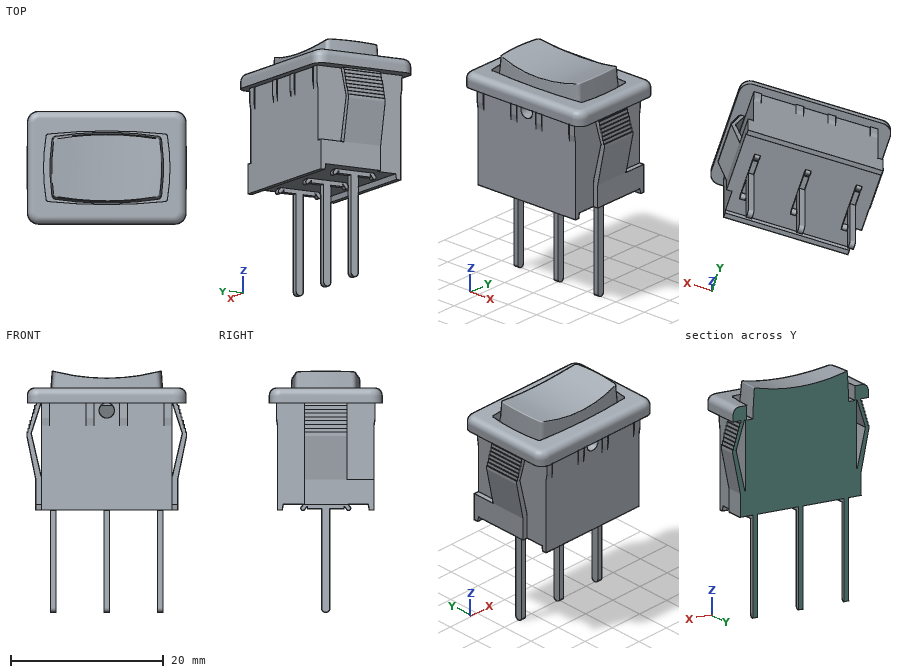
import cadquery as cq
import math


bezel_length = 20.8
bezel_width = 14.8
bezel_height = 2.0
bezel_corner_radius = 1.5
bezel_edge_radius = 1.0

pocket_corner_x = 7.9
pocket_corner_y = 4.4
pocket_bulge_x = 0.38
pocket_bulge_y = 0.42
pocket_corner_radius = 0.35

rocker_corner_x = 7.12
rocker_corner_y = 4.06
rocker_bulge_x = 0.31
rocker_bulge_y = 0.58
rocker_corner_radius = 0.6
rocker_draft = 3.5
rocker_blank_height = 4.6
rocker_edge_radius = 0.12
dish_radius = 27.45
dish_bottom_z = 3.28

body_length = 17.1
body_width = 12.66
body_depth = 14.0
floor_z = -13.25
foot_tip_thickness = 0.65
foot_root_thickness = 0.78

rib_width = 1.05
rib_height = 0.15
rib_straight_length = 2.0
rib_length = 2.95
inner_rib_x = 2.2
outer_rib_x = (body_length - rib_width) / 2
rib_positions = (-outer_rib_x, -inner_rib_x, inner_rib_x, outer_rib_x)

recess_diameter = 2.0
recess_z = -0.95
recess_depth = 1.0
recess_step_z = -0.3
recess_slope_run = 1.0

clip_width = 5.6
clip_base_thickness = 0.75
clip_base_top_z = -10.0
clip_outer_top_x = 9.2
clip_inner_top_x = 8.6
clip_reach_x = 10.47
clip_inner_reach_x = 9.88
clip_inner_elbow_z = -3.95
clip_inner_foot_z = -9.7
tooth_count = 8
tooth_pitch = 0.5
tooth_step = 0.148
first_tooth_z = -0.3

terminal_spacing = 7.0
terminal_thickness = 0.75
terminal_width = 1.1
terminal_tip_z = -27.4
shoulder_width = 4.8
shoulder_bottom_z = -13.83
tab_width = 0.56
tab_angle = 40.0
tab_end_y = 3.0
tab_end_z = -13.78
tab_length = 2.8

half_length = body_length / 2
half_width = body_width / 2


def barrel_outline(corner_x, corner_y, bulge_x, bulge_y):
    """Closed rectangle outline at Z = 0 whose four sides bow outward."""
    return (
        cq.Workplane("XY")
        .moveTo(-corner_x, -corner_y)
        .threePointArc((0, -corner_y - bulge_y), (corner_x, -corner_y))
        .threePointArc((corner_x + bulge_x, 0), (corner_x, corner_y))
        .threePointArc((0, corner_y + bulge_y), (-corner_x, corner_y))
        .threePointArc((-corner_x - bulge_x, 0), (-corner_x, -corner_y))
        .close()
    )


def make_bezel():
    plate = cq.Workplane("XY").box(bezel_length, bezel_width, bezel_height, centered=(True, True, False))
    plate = plate.edges("|Z").fillet(bezel_corner_radius)
    plate = plate.faces(">Z").edges().fillet(bezel_edge_radius)
    pocket = barrel_outline(pocket_corner_x, pocket_corner_y, pocket_bulge_x, pocket_bulge_y)
    pocket = pocket.extrude(bezel_height).edges("|Z").fillet(pocket_corner_radius)
    return plate.cut(pocket)


def make_rocker():
    outline = barrel_outline(rocker_corner_x, rocker_corner_y, rocker_bulge_x, rocker_bulge_y)
    blank = outline.extrude(rocker_blank_height, taper=rocker_draft)
    blank = blank.edges("not(<Z or >Z)").fillet(rocker_corner_radius)
    dish = (
        cq.Workplane("XZ", origin=(0, bezel_width / 2, dish_bottom_z + dish_radius))
        .circle(dish_radius)
        .extrude(bezel_width)
    )
    rocker = blank.cut(dish)
    dished_face = rocker.faces(cq.selectors.NearestToPointSelector((0, 0, dish_bottom_z)))
    return dished_face.edges().fillet(rocker_edge_radius)


def make_body():
    foot_tip_y = half_width - foot_tip_thickness
    foot_root_y = half_width - foot_root_thickness
    return (
        cq.Workplane("YZ", origin=(-half_length, 0, 0))
        .polyline([
            (-half_width, 0),
            (half_width, 0),
            (half_width, -body_depth),
            (foot_tip_y, -body_depth),
            (foot_root_y, floor_z),
            (-foot_root_y, floor_z),
            (-foot_tip_y, -body_depth),
            (-half_width, -body_depth),
        ])
        .close()
        .extrude(body_length)
    )


def make_rib(x):
    """Rib on the front wall, tapering into the wall at its lower end."""
    return (
        cq.Workplane("YZ", origin=(x - rib_width / 2, 0, 0))
        .polyline([
            (-half_width, 0),
            (-half_width - rib_height, 0),
            (-half_width - rib_height, -rib_straight_length),
            (-half_width, -rib_length),
        ])
        .close()
        .extrude(rib_width)
    )


def make_recess():
    """Round recess with a short upright floor above a floor that slopes deeper going down."""
    recess_radius = recess_diameter / 2
    recess_bottom_z = recess_z - recess_radius
    floor_y = recess_depth - half_width
    cylinder = (
        cq.Workplane("XZ", origin=(0, -half_width, recess_z))
        .circle(recess_radius)
        .extrude(-recess_depth - recess_slope_run)
    )
    side_profile = (
        cq.Workplane("YZ", origin=(-recess_radius, 0, 0))
        .polyline([
            (-half_width, 0),
            (floor_y, 0),
            (floor_y, recess_step_z),
            (floor_y + recess_slope_run, recess_bottom_z),
            (-half_width, recess_bottom_z),
        ])
        .close()
        .extrude(recess_diameter)
    )
    return cylinder.intersect(side_profile)


def make_clip():
    """Snap clip on the +X end: serrated spring tongue above a flat base."""
    base_x = half_length + clip_base_thickness
    points = [(clip_inner_top_x, 0), (clip_outer_top_x, 0)]
    for tooth in range(tooth_count):
        tooth_z = first_tooth_z - tooth * tooth_pitch
        tooth_x = clip_reach_x - (tooth_count - 1 - tooth) * tooth_step
        points.append((tooth_x - tooth_step, tooth_z))
        points.append((tooth_x, tooth_z))
    points += [
        (clip_reach_x, first_tooth_z - tooth_count * tooth_pitch),
        (base_x, clip_base_top_z),
        (half_length, clip_base_top_z),
        (half_length, clip_inner_foot_z),
        (clip_inner_reach_x, clip_inner_elbow_z),
    ]
    tongue = (
        cq.Workplane("XZ", origin=(0, clip_width / 2, 0)).polyline(points).close().extrude(clip_width)
    )
    base_length = half_width + clip_width / 2
    base_height = clip_base_top_z + body_depth
    base = cq.Workplane("XY", origin=(half_length, -clip_width / 2, -body_depth)).box(
        clip_base_thickness, base_length, base_height, centered=False
    )
    body_section = make_body().translate((clip_base_thickness, 0, 0))
    return tongue.union(base.intersect(body_section))


def make_tab():
    """Round-ended tab leaning outward toward +Y, sunk into the body floor."""
    tab = (
        cq.Workplane("YZ", origin=(-terminal_thickness / 2, 0, 0))
        .slot2D(tab_length, tab_width)
        .extrude(terminal_thickness)
    )
    lean = math.radians(tab_angle)
    reach = (tab_length - tab_width) / 2
    tab = tab.rotate((0, 0, 0), (1, 0, 0), 90 + tab_angle)
    return tab.translate((0, tab_end_y - reach * math.sin(lean), tab_end_z + reach * math.cos(lean)))


def make_terminal():
    blade_radius = terminal_width / 2
    blade = (
        cq.Workplane("YZ", origin=(-terminal_thickness / 2, 0, 0))
        .moveTo(-blade_radius, floor_z)
        .lineTo(-blade_radius, terminal_tip_z + blade_radius)
        .threePointArc((0, terminal_tip_z), (blade_radius, terminal_tip_z + blade_radius))
        .lineTo(blade_radius, floor_z)
        .close()
        .extrude(terminal_thickness)
    )
    shoulder_height = floor_z - shoulder_bottom_z
    shoulder = cq.Workplane("XY", origin=(0, 0, shoulder_bottom_z)).box(
        terminal_thickness, shoulder_width, shoulder_height, centered=(True, True, False)
    )
    tab = make_tab()
    return blade.union(shoulder).union(tab).union(tab.mirror("XZ"))


switch = make_body().union(make_bezel()).union(make_rocker())

for rib_x in rib_positions:
    rib = make_rib(rib_x)
    switch = switch.union(rib).union(rib.mirror("XZ"))

switch = switch.cut(make_recess())

clip = make_clip()
switch = switch.union(clip).union(clip.mirror("YZ"))

terminal = make_terminal()
for terminal_x in (-terminal_spacing, 0, terminal_spacing):
    switch = switch.union(terminal.translate((terminal_x, 0, 0)))

result = switch